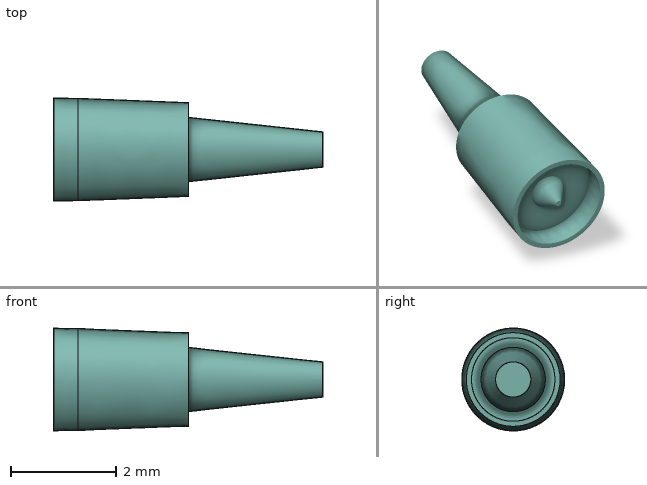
import cadquery as cq

total_length = 5.13
collar_length = 0.465
barrel_end = 2.57

mouth_outer_diameter = 1.96
seam_outer_diameter = 1.95
barrel_end_diameter = 1.785

mouth_bore_diameter = 1.765
wall_thickness = (mouth_outer_diameter - mouth_bore_diameter) / 2
seam_bore_diameter = seam_outer_diameter - 2 * wall_thickness
barrel_end_bore_diameter = barrel_end_diameter - 2 * wall_thickness

tail_base_diameter = 1.225
tail_tip_diameter = 0.67

contact_base_diameter = tail_tip_diameter
contact_tip_diameter = 0.115
contact_length = 0.45


def taper(start, end, start_diameter, end_diameter):
    """Solid of revolution along X whose diameter changes evenly from start to end."""
    profile = [(start, 0), (start, start_diameter / 2), (end, end_diameter / 2), (end, 0)]
    return cq.Workplane("XY").polyline(profile).close().revolve(360, (0, 0, 0), (1, 0, 0))


def make_collar():
    """Front ring around the open recess."""
    outside = taper(0, collar_length, mouth_outer_diameter, seam_outer_diameter)
    bore = taper(0, collar_length, mouth_bore_diameter, seam_bore_diameter)
    return outside.cut(bore)


def make_core():
    """Core that fills the barrel; its front face is the recess floor."""
    return taper(collar_length, barrel_end, seam_bore_diameter, barrel_end_bore_diameter)


def make_barrel(core):
    """Main sleeve behind the collar, bored to fit the core."""
    outside = taper(collar_length, barrel_end, seam_outer_diameter, barrel_end_diameter)
    return outside.cut(core)


def make_tail():
    """Slender cone behind the barrel."""
    return taper(barrel_end, total_length, tail_base_diameter, tail_tip_diameter)


def make_contact():
    """Blunt-tipped cone pointing out of the recess."""
    tip = collar_length - contact_length
    return taper(tip, collar_length, contact_tip_diameter, contact_base_diameter)


collar = make_collar()
core = make_core()
barrel = make_barrel(core)
tail = make_tail()
contact = make_contact()

result = cq.Compound.makeCompound([
    collar.val(),
    barrel.val(),
    core.val(),
    tail.val(),
    contact.val(),
])